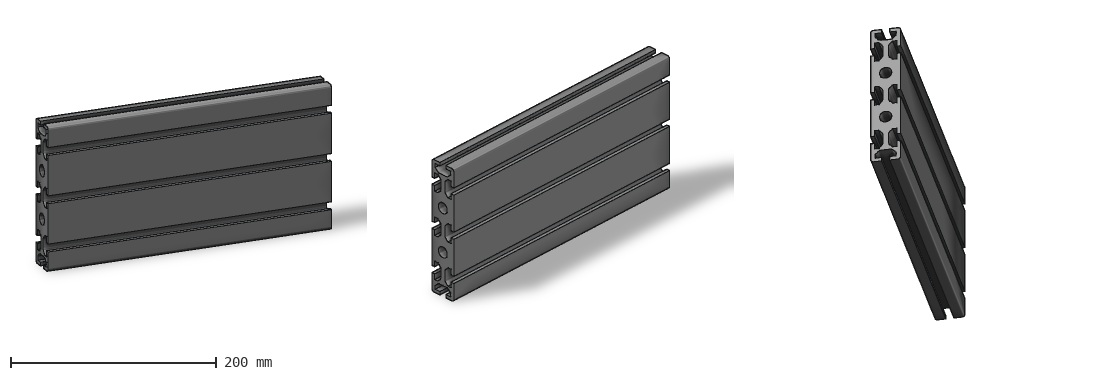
import cadquery as cq

width = 30.0
length = 300.0
height = 150.0
corner_radius = 3.0

module_count = 3
pitch = height / module_count

mouth_width = 8.0
lip_thickness = 4.0
pocket_width = 20.7
flank_width = 4.2
flank_height = 4.2
floor_radius = 4.5
slot_depth = 12.3

bore_diameter = 12.0

overcut = 3.0


def slot_cutter():
    """T-slot along Y that opens upwards, with the centre of its mouth at the origin."""
    half_mouth = mouth_width / 2
    half_pocket = pocket_width / 2
    half_floor = half_pocket - flank_width
    wall_end_z = flank_height - slot_depth
    cutter = (
        cq.Workplane("XZ")
        .moveTo(-half_mouth, overcut)
        .lineTo(half_mouth, overcut)
        .lineTo(half_mouth, -lip_thickness)
        .lineTo(half_pocket, -lip_thickness)
        .lineTo(half_pocket, wall_end_z)
        .lineTo(half_floor, -slot_depth)
        .lineTo(-half_floor, -slot_depth)
        .lineTo(-half_pocket, wall_end_z)
        .lineTo(-half_pocket, -lip_thickness)
        .lineTo(-half_mouth, -lip_thickness)
        .close()
        .extrude(length / 2 + overcut, both=True)
    )
    return cutter.faces("<Z").edges("|Y").fillet(floor_radius)


def turned(cutter, angle):
    """Turn a cutter about the Y axis."""
    return cutter.rotate((0, 0, 0), (0, 1, 0), angle)


result = cq.Workplane("XY").box(width, length, height).edges("|Y").fillet(corner_radius)

slot = slot_cutter()
for module in range(module_count):
    slot_z = (module - (module_count - 1) / 2) * pitch
    result = result.cut(turned(slot, 90).translate((width / 2, 0, slot_z)))
    result = result.cut(turned(slot, -90).translate((-width / 2, 0, slot_z)))

result = result.cut(slot.translate((0, 0, height / 2)))
result = result.cut(turned(slot, 180).translate((0, 0, -height / 2)))

bore_points = [(0, (joint - module_count / 2) * pitch) for joint in range(1, module_count)]
bores = (
    cq.Workplane("XZ")
    .pushPoints(bore_points)
    .circle(bore_diameter / 2)
    .extrude(length / 2 + overcut, both=True)
)
result = result.cut(bores)